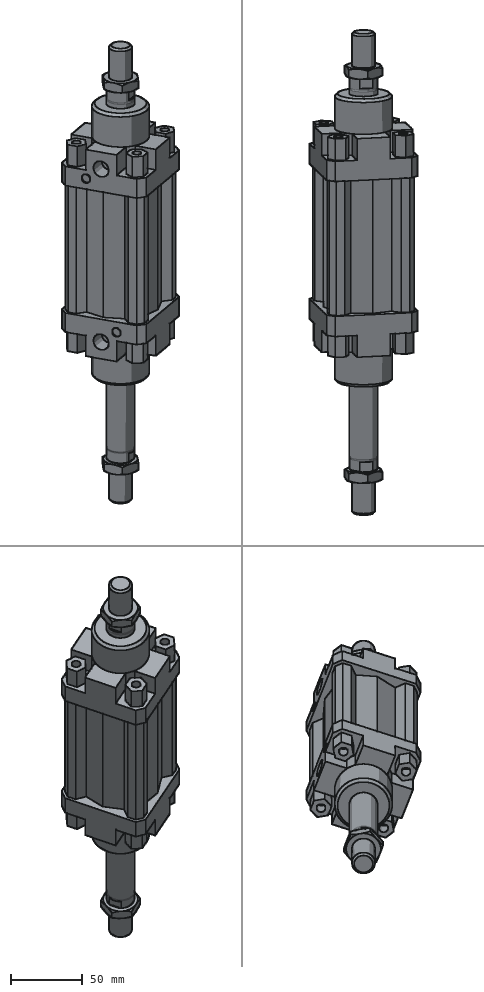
import cadquery as cq
import math


ROD_LENGTH = 344.0
ROD_DIAMETER = 20.0
THREAD_DIAMETER = 16.0
THREAD_CHAMFER = 1.55
NECK_DIAMETER = 19.5
NECK_CHAMFER = 0.7
NECK_END = 39.5
NECK_TAPER = 1.0
WRENCH_FLATS = 17.2
FLATS_END = 38.5

NUT_WIDTH = 24.0
NUT_HEIGHT = 7.2
NUT_SETBACK = 24.0
NUT_CHAMFER_ANGLE = 30

THREAD_LENGTH = NUT_SETBACK + NUT_HEIGHT

HOUSING_CENTER_Z = 25.0
HEAD_WIDTH = 65.0
HEAD_CORNER = 5.0
HEAD_INNER = 48.0
POCKET_FLOOR = 62.5
HEAD_OUTER = 78.0
COLLAR_END = 103.0
COLLAR_DIAMETER = 40.2
COLLAR_CHAMFER = 2.0
ARM_WIDTH = 23.7

TUBE_WIDTH = 61.0
TUBE_CORNER = 4.0
GROOVE_SPAN = 40.2
ROOT_SPAN = 29.2
ROOT_WIDTH = 49.5
RIDGE_WIDTH = 57.5

TIE_PITCH = 46.5
TIE_NUT_WIDTH = 13.0
TIE_HOLE_DIAMETER = 6.2
TIE_HOLE_DEPTH = 10.3
DRILL_POINT_ANGLE = 118

PORT_DIAMETER = 11.7
PORT_Z = 65.5
PORT_DEPTH = 13.8
SCREW_HOLE_DIAMETER = 6.5
SCREW_HOLE_X = 11.7
SCREW_HOLE_Z = 56.0
SCREW_HOLE_DEPTH = 1.0


def hexagon_diameter(across_flats):
    return across_flats / math.cos(math.pi / 6)


def make_tube():
    """Extruded barrel with two grooves and a central ridge on every side."""
    face = TUBE_WIDTH / 2
    shoulder = face - TUBE_CORNER
    side = [
        (-shoulder, face),
        (-GROOVE_SPAN / 2, face),
        (-ROOT_SPAN / 2, ROOT_WIDTH / 2),
        (0, RIDGE_WIDTH / 2),
        (ROOT_SPAN / 2, ROOT_WIDTH / 2),
        (GROOVE_SPAN / 2, face),
        (shoulder, face),
    ]
    outline = []
    for _ in range(4):
        outline += side
        side = [(y, -x) for x, y in side]
    return cq.Workplane("XY").polyline(outline).close().extrude(HEAD_INNER, both=True)


def cut_corner_pockets(head):
    """Open the four corners down to the pocket floor, with the inner corner cut along the collar."""
    arm = ARM_WIDTH / 2
    edge = HEAD_WIDTH / 2
    tangent = COLLAR_DIAMETER / 2 * math.sqrt(2) - arm
    pocket = (
        cq.Workplane("XY", origin=(0, 0, POCKET_FLOOR))
        .polyline([(edge, arm), (edge, edge), (arm, edge), (arm, tangent), (tangent, arm)])
        .close()
        .extrude(HEAD_OUTER - POCKET_FLOOR)
    )
    for quarter in range(4):
        head = head.cut(pocket.rotate((0, 0, 0), (0, 0, 1), 90 * quarter))
    return head


def make_tie_nut():
    """Hexagon nut in the +X +Y pocket with a drilled blind hole."""
    hole_radius = TIE_HOLE_DIAMETER / 2
    point_depth = hole_radius / math.tan(math.radians(DRILL_POINT_ANGLE / 2))
    nut = (
        cq.Workplane("XY", origin=(TIE_PITCH / 2, TIE_PITCH / 2, POCKET_FLOOR))
        .polygon(6, hexagon_diameter(TIE_NUT_WIDTH))
        .extrude(HEAD_OUTER - POCKET_FLOOR)
    )
    drill = (
        cq.Workplane("XZ")
        .polyline([
            (0, 0),
            (hole_radius, 0),
            (hole_radius, -TIE_HOLE_DEPTH),
            (0, -TIE_HOLE_DEPTH - point_depth),
        ])
        .close()
        .revolve(360, (0, 0), (0, 1))
        .translate((TIE_PITCH / 2, TIE_PITCH / 2, HEAD_OUTER))
    )
    return nut.cut(drill)


def side_hole(diameter, x, z, depth):
    """Cylinder that cuts a blind hole into the -Y side of a head."""
    return (
        cq.Workplane("XZ", origin=(x, -HEAD_WIDTH / 2, z))
        .circle(diameter / 2)
        .extrude(-depth)
    )


def make_head(screw_hole_x):
    """Head above the barrel with collar, pockets, tie-rod nuts and ports."""
    head = (
        cq.Workplane("XY", origin=(0, 0, HEAD_INNER))
        .rect(HEAD_WIDTH, HEAD_WIDTH)
        .extrude(HEAD_OUTER - HEAD_INNER)
        .edges("|Z")
        .chamfer(HEAD_CORNER)
    )
    head = cut_corner_pockets(head)
    collar = (
        cq.Workplane("XY", origin=(0, 0, POCKET_FLOOR))
        .circle(COLLAR_DIAMETER / 2)
        .extrude(COLLAR_END - POCKET_FLOOR)
        .faces(">Z")
        .chamfer(COLLAR_CHAMFER)
    )
    head = head.union(collar)
    tie_nut = make_tie_nut()
    for quarter in range(4):
        head = head.union(tie_nut.rotate((0, 0, 0), (0, 0, 1), 90 * quarter))
    head = head.cut(side_hole(PORT_DIAMETER, 0, PORT_Z, PORT_DEPTH))
    return head.cut(side_hole(SCREW_HOLE_DIAMETER, screw_hole_x, SCREW_HOLE_Z, SCREW_HOLE_DEPTH))


def make_housing():
    """Barrel and two heads; the lower head is mirrored, with its screw hole on the other side."""
    upper_head = make_head(-SCREW_HOLE_X)
    lower_head = make_head(SCREW_HOLE_X).mirror("XY")
    housing = make_tube().union(upper_head).union(lower_head)
    rod_bore = cq.Workplane("XY").circle(ROD_DIAMETER / 2).extrude(COLLAR_END, both=True)
    return housing.cut(rod_bore).translate((0, 0, HOUSING_CENTER_Z))


def make_rod():
    """Through rod with threaded ends and flatted necks."""
    end = ROD_LENGTH / 2
    rod_radius = ROD_DIAMETER / 2
    neck_radius = NECK_DIAMETER / 2
    thread_radius = THREAD_DIAMETER / 2
    upper_half = [
        (rod_radius, end - NECK_END - NECK_TAPER),
        (neck_radius, end - NECK_END),
        (neck_radius, end - THREAD_LENGTH - NECK_CHAMFER),
        (neck_radius - NECK_CHAMFER, end - THREAD_LENGTH),
        (thread_radius, end - THREAD_LENGTH),
        (thread_radius, end - THREAD_CHAMFER),
        (thread_radius - THREAD_CHAMFER, end),
        (0, end),
    ]
    lower_half = [(r, -z) for r, z in reversed(upper_half)]
    rod = (
        cq.Workplane("XZ")
        .polyline(lower_half + upper_half)
        .close()
        .revolve(360, (0, 0), (0, 1))
    )
    flat_length = FLATS_END - THREAD_LENGTH
    flat_z = end - FLATS_END + flat_length / 2
    for x_side in (-1, 1):
        for z_side in (-1, 1):
            flat_x = x_side * (WRENCH_FLATS / 2 + rod_radius / 2)
            cutter = cq.Workplane("XY").box(rod_radius, ROD_DIAMETER, flat_length)
            rod = rod.cut(cutter.translate((flat_x, 0, z_side * flat_z)))
    return rod


def make_lock_nut(z_side):
    """Hexagon nut on the upper (+1) or lower (-1) thread, with both faces chamfered at the corners."""
    corner_radius = hexagon_diameter(NUT_WIDTH) / 2
    chamfer_width = corner_radius - NUT_WIDTH / 2
    chamfer_height = chamfer_width * math.tan(math.radians(NUT_CHAMFER_ANGLE))
    nut = cq.Workplane("XY").polygon(6, 2 * corner_radius).extrude(NUT_HEIGHT / 2, both=True)
    envelope = (
        cq.Workplane("XY")
        .circle(corner_radius)
        .extrude(NUT_HEIGHT / 2, both=True)
        .faces("|Z")
        .chamfer(chamfer_height, chamfer_width)
    )
    hole = cq.Workplane("XY").circle(THREAD_DIAMETER / 2).extrude(NUT_HEIGHT, both=True)
    nut_z = ROD_LENGTH / 2 - NUT_SETBACK - NUT_HEIGHT / 2
    return nut.intersect(envelope).cut(hole).translate((0, 0, z_side * nut_z))


housing = make_housing()
rod = make_rod()
lock_nuts = [make_lock_nut(z_side).val() for z_side in (1, -1)]

result = cq.Compound.makeCompound([housing.val(), rod.val(), *lock_nuts])